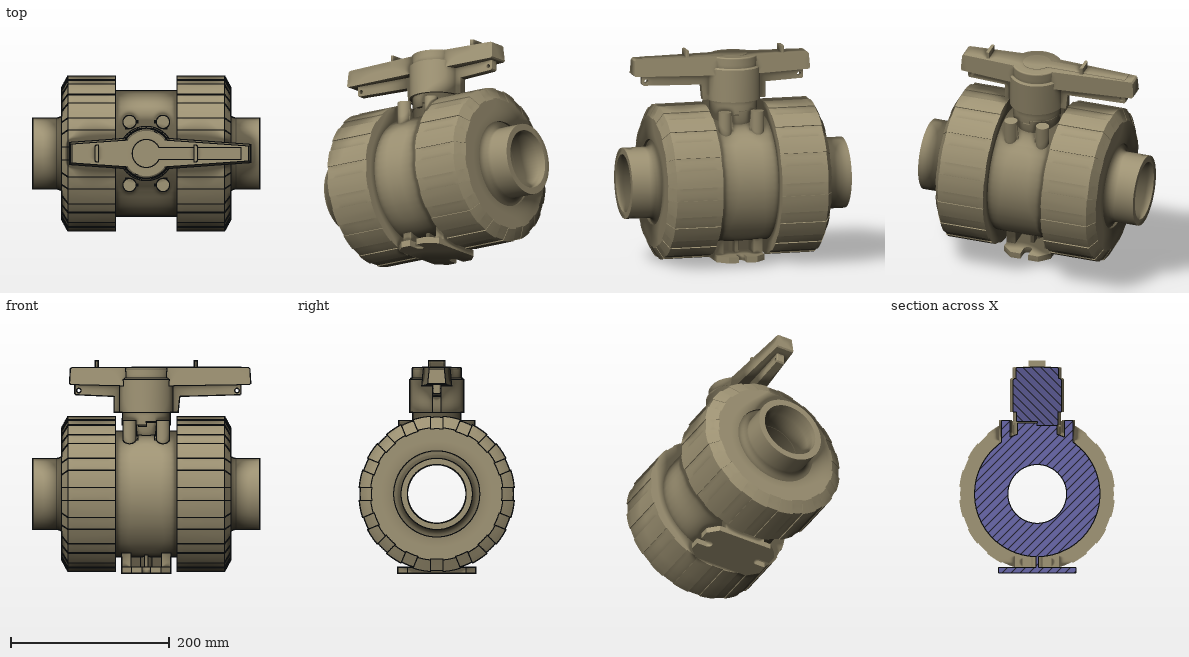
import cadquery as cq
import math


overall_length = 286.5
overall_height = 268.4
bore_radius = 36.8
pipe_radius = 45.0
collar_radius = 54.4
collar_fillet = collar_radius - pipe_radius
fillet_start_x = 113.0

body_radius = 79.5
body_half_length = 96.3
bore_chamfer = 0.7

nut_inner_x = 38.5
nut_outer_x = 106.8
nut_chamfer_length = 8.0
nut_chamfer_depth = 14.6
nut_width = 195.88
flute_count = 16
flute_width = 16.4
flute_depth = 1.4
nut_radius = math.hypot(nut_width / 2, flute_width / 2)

post_x = 21.1
post_y = 39.8
post_radius = 8.35
post_top_z = 92.7
side_nub_width = 3.0
side_nub_reach = 10.4
side_nub_top_z = 73.0
side_gusset_reach = 9.6
side_gusset_top_z = 88.0
inner_nub_width = 4.0
inner_nub_offset = 2.8
inner_nub_reach = 9.0
inner_nub_top_z = 80.0

boss_radius = 29.5
stop_top_z = 90.1
boss_relief_depth = 1.9
boss_relief_length = 10.0

foot_bottom_z = -100.2
foot_thickness = 7.7
foot_top_z = foot_bottom_z + foot_thickness
foot_width = 62.2
foot_depth = 98.8
foot_chamfer = 12.6
foot_slot_width = 10.6
foot_slot_centre_y = 36.0
foot_leg_width = 11.6
foot_leg_depth = 55.0
foot_web_thickness = 4.0
foot_boss_radius = 7.5
foot_rib_thickness = 5.0
foot_rib_depth = 37.2

neck_radius = 30.3
neck_bottom_z = 86.8
neck_notch_top_z = 91.2
hub_radius = 34.3
hub_bottom_z = 103.0
hub_top_z = 146.0
hub_top_chamfer = 1.8
cap_radius = 31.1
cap_fillet = 1.8

arm_top_z = 159.6
arm_left_x = -97.2
arm_right_x = 132.2
arm_root_x = 30.0
arm_root_z = 136.4
arm_tip_z = 138.0
arm_centre_half_width = 21.0
arm_taper = 0.0705
arm_draft_degrees = 6.0
arm_end_draft_degrees = 3.5
arm_tip_chamfer = 1.8

web_thickness = 10.4
web_left_x = -90.4
web_right_x = 119.8
web_tip_z = 125.0
web_root_z = 122.9
web_block_left_x = -41.0
web_block_right_x = 42.4
web_block_lean = 2.0
web_tip_chamfer = 1.8
web_edge_fillet = 0.9
web_hole_diameter = 5.4
web_hole_inset = 5.3
web_hole_z = 130.4

inlay_top_z = 160.4
inlay_radius = 17.7
inlay_width = 15.3
tab_x = 62.5
tab_thickness = 4.0
tab_width = 21.4
tab_top_z = foot_bottom_z + overall_height
tab_fillet = 2.2


def box_between(x_range, y_range, z_range):
    """Box given by its lower and upper limit along each axis."""
    return (
        cq.Workplane("XY")
        .box(x_range[1] - x_range[0], y_range[1] - y_range[0], z_range[1] - z_range[0], centered=False)
        .translate((x_range[0], y_range[0], z_range[0]))
    )


def post_between(x, y, radius, z_bottom, z_top):
    """Upright cylinder."""
    return cq.Workplane("XY", origin=(x, y, z_bottom)).circle(radius).extrude(z_top - z_bottom)


def x_cylinder(radius, x_start, x_end):
    """Cylinder on the pipe axis."""
    return cq.Workplane("YZ", origin=(x_start, 0, 0)).circle(radius).extrude(x_end - x_start)


def revolved_about_pipe(profile):
    """Full turn of an XY outline, held as (x, radius), about the pipe axis."""
    return profile.close().revolve(360, (0, 0, 0), (1, 0, 0))


def opposite_quarters(z_bottom, z_top):
    """The two square quarters with X and Y of opposite sign, larger than the neck."""
    reach = 2 * neck_radius
    front_right = box_between((0, reach), (-reach, 0), (z_bottom, z_top))
    back_left = box_between((-reach, 0), (0, reach), (z_bottom, z_top))
    return front_right.union(back_left)


def corner_posts():
    """Four posts, each with a stepped gusset toward X = 0 and a nub toward Y = 0."""
    posts = cq.Workplane("XY")
    for side_x in (-1, 1):
        for side_y in (-1, 1):
            x = side_x * post_x
            y = side_y * post_y
            post = post_between(x, y, post_radius, 0, post_top_z)
            side_nub = (
                cq.Workplane("XZ", origin=(x, y, 0))
                .lineTo(-side_x * side_nub_reach, 0)
                .lineTo(-side_x * side_nub_reach, side_nub_top_z)
                .lineTo(-side_x * side_gusset_reach, side_nub_top_z)
                .lineTo(-side_x * post_radius, side_gusset_top_z)
                .lineTo(0, side_gusset_top_z)
                .close()
                .extrude(side_nub_width / 2, both=True)
            )
            inner_nub = (
                cq.Workplane("XY")
                .box(inner_nub_width, inner_nub_reach, inner_nub_top_z, centered=(True, True, False))
                .translate((x + side_x * inner_nub_offset, y - side_y * inner_nub_reach / 2, 0))
            )
            posts = posts.union(post).union(side_nub).union(inner_nub)
    return posts


def stem_boss():
    """Boss touching the handle neck, two opposite quarters raised as stops, a relief beside each stop."""
    boss = post_between(0, 0, boss_radius, 0, neck_bottom_z)
    stops = post_between(0, 0, boss_radius, 0, stop_top_z).intersect(opposite_quarters(0, stop_top_z))
    boss = boss.union(stops)
    relief_z = (neck_bottom_z - boss_relief_depth, neck_bottom_z)
    front_relief = box_between((-boss_relief_length, 0), (-boss_radius, 0), relief_z)
    back_relief = front_relief.rotate((0, 0, 0), (0, 0, 1), 180)
    return boss.cut(front_relief).cut(back_relief)


def mounting_foot():
    """Slotted plate joined to the body by two legs, a web, a round boss and a rib."""
    plate = (
        cq.Workplane("XY", origin=(0, 0, foot_bottom_z))
        .rect(foot_width, foot_depth)
        .extrude(foot_thickness)
        .edges("|Z")
        .chamfer(foot_chamfer)
    )
    half_slot = foot_slot_width / 2
    for side_y in (-1, 1):
        slot_centre = side_y * foot_slot_centre_y
        slot_limits = sorted((slot_centre, side_y * foot_depth))
        plate = plate.cut(post_between(0, slot_centre, half_slot, foot_bottom_z, foot_top_z))
        plate = plate.cut(box_between((-half_slot, half_slot), slot_limits, (foot_bottom_z, foot_top_z)))

    height = -foot_top_z
    leg_x = (foot_width - foot_leg_width) / 2
    foot_top = cq.Workplane("XY", origin=(0, 0, foot_top_z))
    legs = foot_top.pushPoints([(-leg_x, 0), (leg_x, 0)]).rect(foot_leg_width, foot_leg_depth).extrude(height)
    web = foot_top.rect(foot_width, foot_web_thickness).extrude(height)
    rib = foot_top.rect(foot_rib_thickness, foot_rib_depth).extrude(height)
    boss = post_between(0, 0, foot_boss_radius, foot_top_z, 0)
    return plate.union(legs).union(web).union(rib).union(boss)


def make_body():
    barrel = x_cylinder(body_radius, -body_half_length, body_half_length)
    body = barrel.union(corner_posts()).union(stem_boss()).union(mounting_foot())
    body = body.cut(x_cylinder(bore_radius, -body_half_length, body_half_length))
    bore_rim = cq.selectors.RadiusNthSelector(0)
    return body.faces("<X or >X").edges(bore_rim).chamfer(bore_chamfer)


def nut_blank(radius):
    """Plain round nut with its outer end chamfered."""
    return revolved_about_pipe(
        cq.Workplane("XY")
        .moveTo(nut_inner_x, 0)
        .lineTo(nut_inner_x, radius)
        .lineTo(nut_outer_x - nut_chamfer_length, radius)
        .lineTo(nut_outer_x, radius - nut_chamfer_depth)
        .lineTo(nut_outer_x, 0)
    )


def make_nut():
    """Nut on the +X side: fluted outside, bored for the body and the connector collar."""
    teeth = nut_blank(nut_radius)
    for index in range(flute_count // 2):
        flute_pair = (
            cq.Workplane("YZ", origin=(nut_inner_x, 0, 0))
            .rect(3 * nut_radius, flute_width)
            .extrude(nut_outer_x - nut_inner_x)
            .rotate((0, 0, 0), (1, 0, 0), index * 360 / flute_count)
        )
        teeth = teeth.cut(flute_pair)
    nut = nut_blank(nut_radius - flute_depth).union(teeth)
    nut = nut.cut(x_cylinder(body_radius, nut_inner_x, body_half_length))
    return nut.cut(x_cylinder(collar_radius, body_half_length, nut_outer_x))


def make_connector():
    """Spigot on the +X side, flaring by a concave fillet into the collar inside the nut."""
    fillet_end_x = fillet_start_x - collar_fillet
    fillet_middle = collar_fillet * math.sqrt(0.5)
    return revolved_about_pipe(
        cq.Workplane("XY")
        .moveTo(body_half_length, bore_radius)
        .lineTo(body_half_length, collar_radius)
        .lineTo(fillet_end_x, collar_radius)
        .threePointArc(
            (fillet_start_x - fillet_middle, collar_radius - fillet_middle),
            (fillet_start_x, pipe_radius),
        )
        .lineTo(overall_length / 2, pipe_radius)
        .lineTo(overall_length / 2, bore_radius)
    )


def handle_hub():
    """Neck with two quarter notches, the wide hub and the rounded cap."""
    neck = post_between(0, 0, neck_radius, neck_bottom_z, hub_bottom_z)
    neck = neck.cut(opposite_quarters(neck_bottom_z, neck_notch_top_z))
    hub = post_between(0, 0, hub_radius, hub_bottom_z, hub_top_z).faces(">Z").chamfer(hub_top_chamfer)
    cap = post_between(0, 0, cap_radius, hub_bottom_z, arm_top_z).faces(">Z").edges().fillet(cap_fillet)
    return neck.union(hub).union(cap)


def arm_outline(z):
    """Closed plan outline of both tapering arms at a height, drawn in by the side draft."""
    rise = z - arm_root_z
    inward = rise * math.tan(math.radians(arm_draft_degrees))
    end_inward = rise * math.tan(math.radians(arm_end_draft_degrees))
    left = arm_left_x + end_inward
    right = arm_right_x - end_inward
    centre_half = arm_centre_half_width - inward
    left_half = centre_half + arm_taper * left
    right_half = centre_half - arm_taper * right
    points = [(left, left_half), (0, centre_half), (right, right_half)]
    mirrored = [(x, -y) for x, y in reversed(points)]
    return cq.Wire.makePolygon([cq.Vector(x, y, z) for x, y in points + mirrored], close=True)


def handle_arms():
    """Drafted arms with end chamfers and an underside rising toward both tips."""
    arms = cq.Workplane(cq.Solid.makeLoft([arm_outline(arm_root_z), arm_outline(arm_top_z)], True))
    end_inward = (arm_top_z - arm_root_z) * math.tan(math.radians(arm_end_draft_degrees))
    top_left = arm_left_x + end_inward
    top_right = arm_right_x - end_inward
    side_profile = (
        cq.Workplane("XZ")
        .moveTo(-arm_root_x, arm_root_z)
        .lineTo(arm_root_x, arm_root_z)
        .lineTo(arm_right_x - arm_tip_chamfer, arm_tip_z)
        .lineTo(arm_right_x, arm_tip_z + arm_tip_chamfer)
        .lineTo(arm_right_x, arm_top_z - arm_tip_chamfer)
        .lineTo(top_right, arm_top_z - arm_tip_chamfer)
        .lineTo(top_right - arm_tip_chamfer, arm_top_z)
        .lineTo(top_left + arm_tip_chamfer, arm_top_z)
        .lineTo(top_left, arm_top_z - arm_tip_chamfer)
        .lineTo(arm_left_x, arm_top_z - arm_tip_chamfer)
        .lineTo(arm_left_x, arm_tip_z + arm_tip_chamfer)
        .lineTo(arm_left_x + arm_tip_chamfer, arm_tip_z)
        .close()
        .extrude(arm_centre_half_width, both=True)
    )
    return arms.intersect(side_profile)


def handle_web():
    """Flat web under the arms, deeper beside the hub, with rounded ends and a hole near each."""
    web = (
        cq.Workplane("XZ")
        .moveTo(web_block_left_x, hub_bottom_z)
        .lineTo(web_block_right_x - web_block_lean, hub_bottom_z)
        .lineTo(web_block_right_x, web_root_z)
        .lineTo(web_right_x - web_tip_chamfer, web_tip_z)
        .lineTo(web_right_x, web_tip_z + web_tip_chamfer)
        .lineTo(web_right_x, arm_tip_z)
        .lineTo(web_left_x, arm_tip_z)
        .lineTo(web_left_x, web_tip_z + web_tip_chamfer)
        .lineTo(web_left_x + web_tip_chamfer, web_tip_z)
        .lineTo(web_block_left_x, web_root_z)
        .close()
        .extrude(web_thickness / 2, both=True)
        .edges("|Z")
        .fillet(web_edge_fillet)
    )
    holes = (
        cq.Workplane("XZ")
        .pushPoints([(web_left_x + web_hole_inset, web_hole_z), (web_right_x - web_hole_inset, web_hole_z)])
        .circle(web_hole_diameter / 2)
        .extrude(web_thickness, both=True)
    )
    return web.cut(holes)


def handle_inlay():
    """Thin raised disc with a bar along the right arm."""
    disc = post_between(0, 0, inlay_radius, arm_top_z, inlay_top_z)
    half_width = inlay_width / 2
    bar = box_between((0, web_right_x), (-half_width, half_width), (arm_top_z, inlay_top_z))
    return disc.union(bar)


def handle_tab(side_x):
    """Upright tab across an arm, its two outward corners rounded."""
    outward = ">X" if side_x > 0 else "<X"
    return (
        cq.Workplane("XY", origin=(side_x * tab_x, 0, arm_top_z))
        .rect(tab_thickness, tab_width)
        .extrude(tab_top_z - arm_top_z)
        .faces(outward)
        .edges("|Z")
        .fillet(tab_fillet)
    )


def make_handle():
    handle = handle_hub().union(handle_arms()).union(handle_web()).union(handle_inlay())
    for side_x in (-1, 1):
        handle = handle.union(handle_tab(side_x))
    return handle


body = make_body()
handle = make_handle()
nuts = []
connectors = []
for turn in (0, 180):
    nuts.append(make_nut().rotate((0, 0, 0), (0, 0, 1), turn))
    connectors.append(make_connector().rotate((0, 0, 0), (0, 0, 1), turn))

result = cq.Compound.makeCompound(
    [body.val(), handle.val()] + [nut.val() for nut in nuts] + [connector.val() for connector in connectors]
)